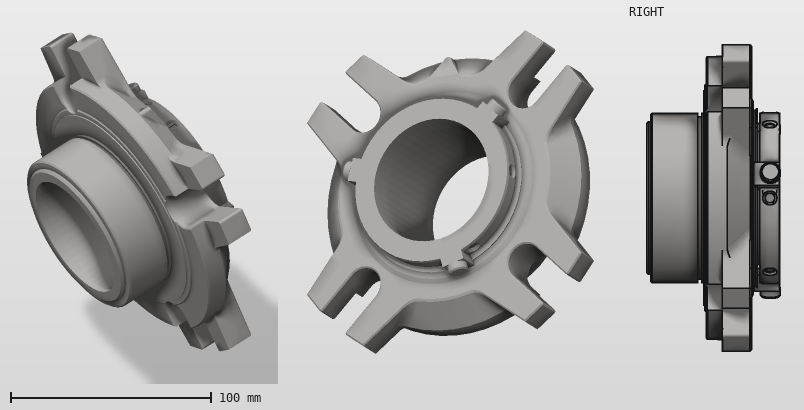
import cadquery as cq
import math


bore_radius = 31.8
sleeve_radius = 33.3

nose_radius = 38.11
nose_length = 2.0
nose_chamfer = 1.0
hub_radius = 42.24
hub_chamfer = 0.8
hub_groove_radius = 40.55
hub_groove_start = 25.5
hub_groove_end = 27.3

pad_radius = 53.5
pad_start = 28.4
seat_radius = 56.7
seat_bevel = 0.6
seat_start = 29.0
flange_radius = 70.5
flange_start = 29.6
flange_chamfer = 0.8
cone_start = 40.2
flange_end = 52.2
cone_end_radius = flange_radius - (flange_end - cone_start)

spigot_base_radius = 49.8
spigot_radius = 47.5
spigot_end = 53.2
lip_neck_radius = 43.8
lip_radius = 44.6
lip_start = 54.2
lip_end = 55.0

collar_radius = 42.6
collar_start = 56.4
collar_end = 66.3
collar_bevel_length = 1.5
collar_bevel_depth = 0.5
collar_middle = 61.4

half_size = 76.4
lug_start = 37.7
rear_chamfer = 0.8
ear_tip_radius = 1.2
ear_tip_reach = 50.4
slot_rim_chamfer = 0.6
slot_rim_reach = 30.5
ear_corner_offset = 44.9
ear_lean = 8.0
ear_width = 13.3
ear_root_distance = 45.8
lug_blend_radius = 5.3
slot_width = 18.3
slot_center_distance = 63.2

clip_angles = (15, 135, 255)
clip_width = 11.9
clip_inner_radius = 37.9
clip_outer_radius = 46.6
clip_start = 53.5
screw_head_diameter = 10.0
screw_head_height = 4.1
screw_head_chamfer = 0.8
screw_head_middle = 61.63

set_screw_angles = range(0, 360, 60)
drive_screw_angle = 90
screw_mouth_diameter = 7.2
screw_hole_diameter = 4.9
screw_hole_depth = 1.5
screw_slot_width = 1.7
screw_slot_depth = 0.9

rib_crest = 70.0
rib_crest_radius = 1.7
rib_half_angle = 33.0
rib_root = 52.0
rib_front = 38.2
rib_crest_end = 47.4


def turned(profile):
    """Revolve (radius, Y) points around the Y axis."""
    return cq.Workplane("XY").polyline(profile).close().revolve(360, (0, 0, 0), (0, 1, 0))


def plate_plane(y_end):
    """Sketch plane across the shaft; extrusions run from y_end towards the hub."""
    return cq.Workplane("XZ", origin=(0, y_end, 0))


def radial_plane(angle, radius, y):
    """Sketch plane facing outward at the given angle; its local x runs along Y."""
    direction = (math.cos(math.radians(angle)), 0, math.sin(math.radians(angle)))
    origin = (radius * direction[0], y, radius * direction[2])
    return cq.Workplane(cq.Plane(origin=origin, xDir=(0, 1, 0), normal=direction))


def make_flange():
    return turned([
        (0, pad_start),
        (pad_radius, pad_start),
        (pad_radius, seat_start),
        (seat_radius - seat_bevel, seat_start),
        (seat_radius, flange_start),
        (flange_radius - flange_chamfer, flange_start),
        (flange_radius, flange_start + flange_chamfer),
        (flange_radius, cone_start),
        (cone_end_radius, flange_end),
        (0, flange_end),
    ])


def make_lug_pair():
    """Two mirrored ears around the +X axis, before the slot is cut between them."""
    diagonal = math.sqrt(2)
    corner_along = (half_size + ear_corner_offset) / diagonal
    corner_across = (half_size - ear_corner_offset) / diagonal
    lean = math.radians(ear_lean)
    inner_along = corner_along + ear_width * math.sin(lean)
    inner_across = corner_across - ear_width * math.cos(lean)
    root_across = corner_across + (corner_along - ear_root_distance) * math.tan(lean)
    outline = [
        (ear_root_distance, root_across),
        (corner_along, corner_across),
        (inner_along, inner_across),
        (inner_along, -inner_across),
        (corner_along, -corner_across),
        (ear_root_distance, -root_across),
    ]
    return plate_plane(flange_end).polyline(outline).close().extrude(flange_end - lug_start)


def at_diagonals(shape):
    """Four copies of a shape built on +X, one on each diagonal."""
    copies = cq.Workplane("XY")
    for angle in (45, 135, 225, 315):
        copies = copies.add(shape.rotate((0, 0, 0), (0, 1, 0), angle))
    return copies.combine()


def make_slot():
    slot_reach = 1.5 * half_size
    depth = flange_end - pad_start
    round_end = plate_plane(flange_end).center(slot_center_distance, 0).circle(slot_width / 2).extrude(depth)
    straight = (
        plate_plane(flange_end)
        .center((slot_center_distance + slot_reach) / 2, 0)
        .rect(slot_reach - slot_center_distance, slot_width)
        .extrude(depth)
    )
    return round_end.union(straight)


def make_hub():
    return turned([
        (0, 0),
        (nose_radius - nose_chamfer, 0),
        (nose_radius, nose_chamfer),
        (nose_radius, nose_length),
        (hub_radius - hub_chamfer, nose_length),
        (hub_radius, nose_length + hub_chamfer),
        (hub_radius, hub_groove_start),
        (hub_groove_radius, hub_groove_start),
        (hub_groove_radius, hub_groove_end),
        (hub_radius, hub_groove_end),
        (hub_radius, pad_start),
        (0, pad_start),
    ])


def make_rear():
    """Spigot, hook lip, exposed sleeve and drive collar."""
    return turned([
        (0, flange_end),
        (spigot_base_radius, flange_end),
        (spigot_radius, spigot_end),
        (lip_neck_radius, spigot_end),
        (lip_neck_radius, lip_start),
        (lip_radius, lip_end),
        (sleeve_radius, lip_end),
        (sleeve_radius, collar_start),
        (collar_radius - collar_bevel_depth, collar_start),
        (collar_radius, collar_start + collar_bevel_length),
        (collar_radius, collar_end - collar_bevel_length),
        (collar_radius - collar_bevel_depth, collar_end),
        (0, collar_end),
    ])


def make_clip(angle):
    clip_length = collar_end - clip_start
    clip_middle = (collar_end + clip_start) / 2
    block = (
        radial_plane(angle, clip_inner_radius, clip_middle)
        .rect(clip_length, clip_width)
        .extrude(clip_outer_radius - clip_inner_radius)
    )
    head = (
        radial_plane(angle, clip_outer_radius, screw_head_middle)
        .circle(screw_head_diameter / 2)
        .extrude(screw_head_height)
        .faces(cq.selectors.DirectionMinMaxSelector(
            cq.Vector(math.cos(math.radians(angle)), 0, math.sin(math.radians(angle)))))
        .chamfer(screw_head_chamfer)
    )
    return block.union(head)


def make_set_screw_hole(angle):
    """Round recess with a bevelled mouth."""
    mouth_bevel = (screw_mouth_diameter - screw_hole_diameter) / 2
    mouth = (
        radial_plane(angle, collar_radius, collar_middle)
        .circle(screw_mouth_diameter / 2)
        .workplane(offset=-mouth_bevel)
        .circle(screw_hole_diameter / 2)
        .loft()
    )
    hole = radial_plane(angle, collar_radius, collar_middle).circle(screw_hole_diameter / 2)
    return mouth.union(hole.extrude(-screw_hole_depth))


def make_drive_slot():
    return (
        radial_plane(drive_screw_angle, collar_radius, collar_middle)
        .rect(screw_hole_diameter, screw_slot_width)
        .extrude(-screw_hole_depth - screw_slot_depth)
    )


def make_rib():
    """Triangular prism along Y, trimmed by a sloping rear face."""
    half_angle = math.radians(rib_half_angle)
    sharp_crest = rib_crest + rib_crest_radius * (1 / math.sin(half_angle) - 1)
    half_width = (sharp_crest - rib_root) * math.tan(half_angle)
    prism = (
        plate_plane(flange_end)
        .polyline([(-half_width, rib_root), (half_width, rib_root), (0, sharp_crest)])
        .close()
        .extrude(flange_end - rib_front)
        .edges("|Y and >Z")
        .fillet(rib_crest_radius)
    )
    side = (
        cq.Workplane("YZ")
        .polyline([
            (rib_front, rib_root),
            (flange_end, rib_root),
            (flange_end, cone_end_radius),
            (rib_crest_end, rib_crest),
            (rib_front, rib_crest),
        ])
        .close()
        .extrude(half_width, both=True)
    )
    return prism.intersect(side)


def diagonal_reach(edge):
    """Smaller of the edge middle's distances from the X and Z axes: large near the diagonals."""
    middle = edge.Center()
    return min(abs(middle.x), abs(middle.z))


def on_front_face(edge):
    return abs(edge.Center().y - flange_start) < 0.02


flange = make_flange().union(at_diagonals(make_lug_pair()))
joint_zone = cq.selectors.BoxSelector(
    (-flange_radius, lug_start, -flange_radius),
    (flange_radius, cone_start, flange_radius),
)
rim_joints = flange.edges("|Y").edges(joint_zone)
cone_joints = flange.edges("%HYPERBOLA")
flange = rim_joints.add(cone_joints).fillet(lug_blend_radius)

flange = flange.cut(at_diagonals(make_slot()))
ear_tips = [edge for edge in flange.edges("|Y").vals() if diagonal_reach(edge) > ear_tip_reach]
flange = flange.newObject(ear_tips).fillet(ear_tip_radius)
flange = flange.faces(">Y").edges().chamfer(rear_chamfer)
slot_rims = [
    edge for edge in flange.edges().vals()
    if on_front_face(edge) and diagonal_reach(edge) > slot_rim_reach
]
flange = flange.newObject(slot_rims).chamfer(slot_rim_chamfer)

result = flange.union(make_rib()).union(make_hub()).union(make_rear())

for clip_angle in clip_angles:
    result = result.union(make_clip(clip_angle))

for screw_angle in [*set_screw_angles, drive_screw_angle]:
    result = result.cut(make_set_screw_hole(screw_angle))
result = result.cut(make_drive_slot())

bore = plate_plane(collar_end).circle(bore_radius).extrude(collar_end)
result = result.cut(bore)